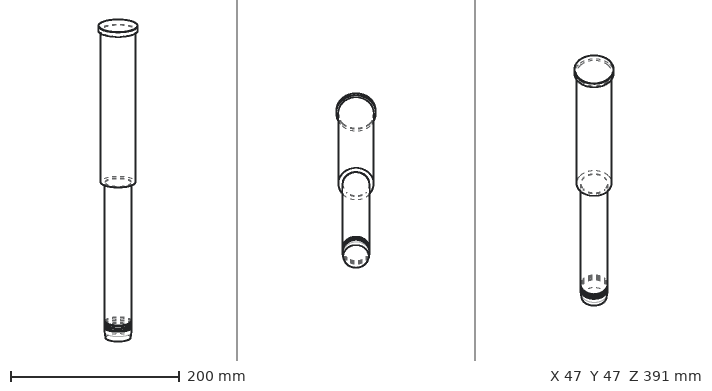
import cadquery as cq

total_length = 391.0
head_diameter = 47.0
sleeve_diameter = 42.0
rod_diameter = 32.0

head_height = 6.3
head_chamfer = 0.6
rod_length = 195.0

tip_diameter = 30.0
tip_height = 7.0

groove_count = 3
groove_width = 1.0
groove_depth = 0.5
groove_pitch = 3.5
first_groove_base = 12.5
relief_base = rod_length - groove_width


def cylinder(diameter, base, height):
    return cq.Workplane("XY").workplane(offset=base).circle(diameter / 2).extrude(height)


def ring_groove(base):
    core = cylinder(rod_diameter - 2 * groove_depth, base, groove_width)
    return cylinder(head_diameter, base, groove_width).cut(core)


tip = (
    cq.Workplane("XY")
    .circle(tip_diameter / 2)
    .workplane(offset=tip_height)
    .circle(rod_diameter / 2)
    .loft(ruled=True)
)
rod = cylinder(rod_diameter, tip_height, rod_length - tip_height).union(tip)
for index in range(groove_count):
    rod = rod.cut(ring_groove(first_groove_base + index * groove_pitch))
rod = rod.cut(ring_groove(relief_base))

head_base = total_length - head_height
sleeve = cylinder(sleeve_diameter, rod_length, head_base - rod_length)
head = cylinder(head_diameter, head_base, head_height).faces(">Z").chamfer(head_chamfer)

result = rod.union(sleeve).union(head)